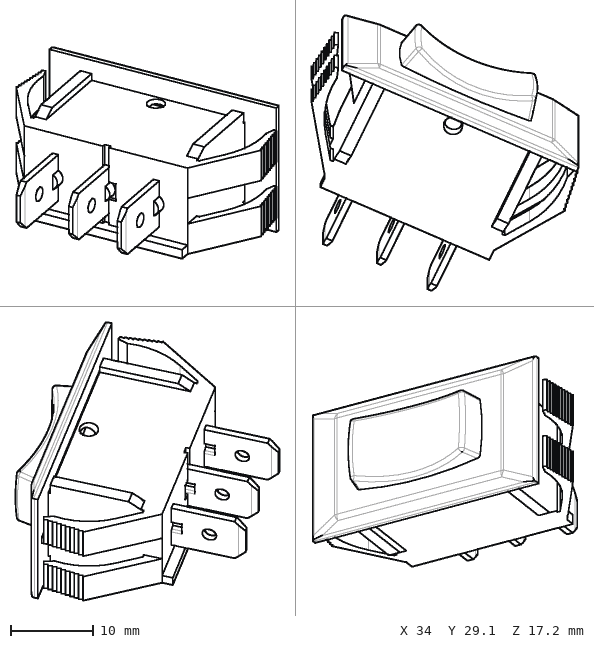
import cadquery as cq
import math


FLANGE_LENGTH = 31.5
FLANGE_HEIGHT = 17.15
FLANGE_FRONT = 2.05
RIM_DEPTH = 0.85
BEVEL_X = 4.0
BEVEL_Z = 1.55
RIM_ROUND = 0.5
FRONT_ROUND = 1.25

BODY_LENGTH = 22.65
BODY_HEIGHT = 11.9
BODY_REAR = -14.45
NECK_HEIGHT = 10.95
NECK_DEPTH = 0.25
LEDGE_THICKNESS = 1.25
LEDGE_DEPTH = 1.35

RIB_WIDTH = 1.55
RIB_RISE = 0.92
RIB_REAR = -11.75
RIB_CHAMFER = 1.55
GUSSET_REACH = 2.85
GUSSET_THICKNESS = 0.95
GUSSET_TIP = -1.55
GUSSET_REAR = -6.1

ARM_TIP_X = 17.0
ARM_HEIGHT = 4.18
ARM_KNEE_Y = -6.12
ARM_SLOT_END = -12.1
ARM_ANGLE = 34.5
ARM_SLOT_WIDTH = 0.37
ARM_INNER_RADIUS = 10.55
ARM_INNER_X = 15.5
ARM_INNER_TOP_Y = -2.05
ARM_END = (15.85, -0.75)
TOOTH_COUNT = 9
TOOTH_PITCH = 0.58
TOOTH_LEAN = 0.075
TOOTH_DEPTH = 0.2
TOOTH_UNDERCUT = 0.1

TERMINAL_SPACING = 7.0
TERMINAL_THICKNESS = 0.8
TERMINAL_HEIGHT = 6.35
TERMINAL_LENGTH = 9.4
TERMINAL_CORNER = 1.33
TIP_TAPER_LENGTH = 0.85
TIP_THICKNESS = 0.55
TERMINAL_HOLE_DIAMETER = 1.77
TERMINAL_HOLE_FROM_ROOT = 4.83
DIMPLE_LENGTH = 1.35
DIMPLE_DIAMETER = 2.28
DIMPLE_RISE = 0.6
DIMPLE_MOUTH = 1.77
GROOVE_LIP_RADIUS = 0.35
GROOVE_WALL_ANGLE = 65.0

CENTRE_RECESS = 0.48
RECESS_LENGTH = 2.8
RECESS_HEIGHT = 2.35

ROCKER_BASE_HALF = 8.95
ROCKER_HALF_HEIGHT = 4.83
ROCKER_BLANK_HEIGHT = 3.75
ROCKER_END_SLOPE = 13.8
ROCKER_SIDE_RADIUS = 46.92
ROCKER_END_BULGE = 0.3
DISH_RADIUS = 17.0
DISH_LOW = 3.4
ROCKER_ROUND = 0.48
STEM_LENGTH = 16.32
STEM_HEIGHT = 7.82
STEM_REAR = -3.4

PIVOT_Y = -1.77
PIVOT_HOLE_DIAMETER = 2.28
PIVOT_PIN_DIAMETER = 2.05
PIN_INSET = 0.58
PIN_FLAT_EDGE = 0.6
PIN_SLOPE = 30.0


def block(length, height, y_rear, y_front):
    """Box centred on X and Z that spans two Y positions."""
    middle = (y_rear + y_front) / 2
    return cq.Workplane("XY").box(length, y_front - y_rear, height).translate((0, middle, 0))


def prism_z(points, thickness):
    """XY outline extruded evenly to both sides of Z = 0."""
    return cq.Workplane("XY").polyline(points).close().extrude(thickness / 2, both=True)


def both_ends(shape):
    return shape.union(shape.mirror("YZ"))


def both_faces(shape):
    return shape.union(shape.mirror("XY"))


def rim_half_section(plane, half_width, bevel):
    """Half of a flange cross-section, with only its rim edge rounded."""
    slope_length = math.hypot(bevel, FLANGE_FRONT - RIM_DEPTH)
    along = (-bevel / slope_length, (FLANGE_FRONT - RIM_DEPTH) / slope_length)
    turn = math.acos(along[1])
    setback = RIM_ROUND * math.tan(turn / 2)
    centre = (half_width - RIM_ROUND, RIM_DEPTH - setback)
    arc_middle = (
        centre[0] + RIM_ROUND * math.cos(turn / 2),
        centre[1] + RIM_ROUND * math.sin(turn / 2),
    )
    arc_end = (half_width + setback * along[0], RIM_DEPTH + setback * along[1])
    return (
        cq.Workplane(plane)
        .lineTo(half_width, 0)
        .lineTo(half_width, centre[1])
        .threePointArc(arc_middle, arc_end)
        .lineTo(half_width - bevel, FLANGE_FRONT)
        .lineTo(0, FLANGE_FRONT)
        .close()
    )


def make_flange():
    overrun = RIM_DEPTH / (FLANGE_FRONT - RIM_DEPTH)
    bevels = (
        cq.Workplane("XZ")
        .rect(FLANGE_LENGTH + 2 * BEVEL_X * overrun, FLANGE_HEIGHT + 2 * BEVEL_Z * overrun)
        .workplane(offset=-FLANGE_FRONT)
        .rect(FLANGE_LENGTH - 2 * BEVEL_X, FLANGE_HEIGHT - 2 * BEVEL_Z)
        .loft(ruled=True, combine=True)
        .edges("not(<Y)")
        .fillet(FRONT_ROUND)
    )
    upright = cq.Plane(origin=(0, 0, 0), xDir=(0, 0, 1), normal=(-1, 0, 0))
    across_x = rim_half_section("XY", FLANGE_LENGTH / 2, BEVEL_X).extrude(FLANGE_HEIGHT / 2, both=True)
    across_z = rim_half_section(upright, FLANGE_HEIGHT / 2, BEVEL_Z).extrude(FLANGE_LENGTH / 2, both=True)
    return bevels.intersect(both_ends(across_x)).intersect(both_faces(across_z))


def make_block():
    neck = block(BODY_LENGTH, NECK_HEIGHT, -NECK_DEPTH, 0)
    main = block(BODY_LENGTH, BODY_HEIGHT, BODY_REAR, -NECK_DEPTH)
    ledge = block(BODY_LENGTH, LEDGE_THICKNESS, BODY_REAR - LEDGE_DEPTH, BODY_REAR)
    ledge = ledge.translate((0, 0, (LEDGE_THICKNESS - BODY_HEIGHT) / 2))
    return neck.union(main).union(ledge)


def make_ribs():
    base = BODY_HEIGHT / 2
    top = base + RIB_RISE
    profile = [
        (-NECK_DEPTH, base),
        (-NECK_DEPTH, top),
        (RIB_REAR + RIB_CHAMFER, top),
        (RIB_REAR, base),
    ]
    start = BODY_LENGTH / 2 - RIB_WIDTH
    rib = cq.Workplane("YZ", origin=(start, 0, 0)).polyline(profile).close().extrude(RIB_WIDTH)
    return both_faces(both_ends(rib))


def make_gussets():
    end = BODY_LENGTH / 2
    tip = end + GUSSET_REACH
    gusset = prism_z([(end, 0), (tip, 0), (tip, GUSSET_TIP), (end, GUSSET_REAR)], GUSSET_THICKNESS)
    return both_ends(gusset)


def make_clip_arms():
    end = BODY_LENGTH / 2
    angle = math.radians(ARM_ANGLE)
    centre_x = ARM_INNER_X - ARM_INNER_RADIUS
    slot_x = end + ARM_SLOT_WIDTH
    bend_x = centre_x + ARM_INNER_RADIUS * math.cos(angle)
    bend_y = ARM_SLOT_END + (bend_x - slot_x) / math.tan(angle)
    centre_y = bend_y + ARM_INNER_RADIUS * math.sin(angle)
    top_rise = ARM_INNER_TOP_Y - centre_y
    arc_top = (centre_x + math.sqrt(ARM_INNER_RADIUS**2 - top_rise**2), ARM_INNER_TOP_Y)

    arm = (
        cq.Workplane("XY", origin=(0, 0, BODY_HEIGHT / 2 - ARM_HEIGHT))
        .moveTo(end, BODY_REAR)
        .lineTo(ARM_TIP_X, ARM_KNEE_Y)
    )
    for tooth in range(TOOTH_COUNT):
        x = ARM_TIP_X - tooth * TOOTH_LEAN
        y = ARM_KNEE_Y + tooth * TOOTH_PITCH
        arm = arm.lineTo(x - TOOTH_DEPTH, y + TOOTH_UNDERCUT)
        arm = arm.lineTo(x - TOOTH_LEAN, y + TOOTH_PITCH)
    arm = (
        arm.lineTo(*ARM_END)
        .lineTo(*arc_top)
        .threePointArc((ARM_INNER_X, centre_y), (bend_x, bend_y))
        .lineTo(slot_x, ARM_SLOT_END)
        .lineTo(end, ARM_SLOT_END)
        .close()
        .extrude(ARM_HEIGHT)
    )
    return both_faces(both_ends(arm))


def make_dimple_groove():
    """Round-lipped, flat-floored groove behind the bump; the blade's -X face is at X = 0."""
    mouth = DIMPLE_MOUTH / 2
    turn = math.radians(GROOVE_WALL_ANGLE)
    lip_middle = (
        GROOVE_LIP_RADIUS * (1 - math.cos(turn / 2)),
        mouth - GROOVE_LIP_RADIUS * math.sin(turn / 2),
    )
    lip_end = (
        GROOVE_LIP_RADIUS * (1 - math.cos(turn)),
        mouth - GROOVE_LIP_RADIUS * math.sin(turn),
    )
    floor_half = lip_end[1] - (DIMPLE_RISE - lip_end[0]) / math.tan(turn)
    return (
        cq.Workplane("XZ")
        .moveTo(0, -mouth)
        .threePointArc((lip_middle[0], -lip_middle[1]), (lip_end[0], -lip_end[1]))
        .lineTo(DIMPLE_RISE, -floor_half)
        .lineTo(DIMPLE_RISE, floor_half)
        .lineTo(*lip_end)
        .threePointArc(lip_middle, (0, mouth))
        .close()
        .extrude(DIMPLE_LENGTH)
    )


def make_terminal():
    """Blade terminal centred on X = 0 and Z = 0, with its root at Y = 0."""
    half_height = TERMINAL_HEIGHT / 2
    half_thickness = TERMINAL_THICKNESS / 2
    outline = [
        (0, half_height),
        (TERMINAL_CORNER - TERMINAL_LENGTH, half_height),
        (-TERMINAL_LENGTH, half_height - TERMINAL_CORNER),
        (-TERMINAL_LENGTH, TERMINAL_CORNER - half_height),
        (TERMINAL_CORNER - TERMINAL_LENGTH, -half_height),
        (0, -half_height),
    ]
    blade = cq.Workplane("YZ").polyline(outline).close().extrude(half_thickness, both=True)
    taper = prism_z(
        [
            (half_thickness, 0),
            (half_thickness, TIP_TAPER_LENGTH - TERMINAL_LENGTH),
            (TIP_THICKNESS / 2, -TERMINAL_LENGTH),
            (-TIP_THICKNESS / 2, -TERMINAL_LENGTH),
            (-half_thickness, TIP_TAPER_LENGTH - TERMINAL_LENGTH),
            (-half_thickness, 0),
        ],
        TERMINAL_HEIGHT,
    )
    hole = (
        cq.Workplane("YZ", origin=(-half_thickness, -TERMINAL_HOLE_FROM_ROOT, 0))
        .circle(TERMINAL_HOLE_DIAMETER / 2)
        .extrude(TERMINAL_THICKNESS)
    )
    bump_centre = half_thickness + DIMPLE_RISE - DIMPLE_DIAMETER / 2
    bump = cq.Workplane("XZ").center(bump_centre, 0).circle(DIMPLE_DIAMETER / 2).extrude(DIMPLE_LENGTH)
    bump_side = cq.Workplane("XY").box(
        TERMINAL_HEIGHT, TERMINAL_HEIGHT, TERMINAL_HEIGHT, centered=(False, True, True)
    )
    bump = bump.intersect(bump_side)
    groove = make_dimple_groove().translate((-half_thickness, 0, 0))
    return blade.intersect(taper).cut(hole).union(bump).cut(groove)


def make_centre_recess():
    """Slot from the ledge up to the top, and a wider pocket, that set the centre terminal deeper."""
    floor = BODY_REAR + CENTRE_RECESS
    slot = block(TERMINAL_THICKNESS, BODY_HEIGHT, BODY_REAR, floor).translate((0, 0, LEDGE_THICKNESS))
    pocket = block(RECESS_LENGTH, RECESS_HEIGHT, BODY_REAR, floor)
    return slot.union(pocket)


def make_stem():
    """Part of the rocker that fills the opening through the flange."""
    return block(STEM_LENGTH, STEM_HEIGHT, STEM_REAR, FLANGE_FRONT)


def pivot_cylinder(diameter, half_length):
    return cq.Workplane("XY").center(0, PIVOT_Y).circle(diameter / 2).extrude(half_length, both=True)


def make_housing():
    housing = make_flange().union(make_block()).union(make_ribs())
    housing = housing.union(make_gussets()).union(make_clip_arms())
    housing = housing.cut(make_centre_recess())
    for position in (-1, 0, 1):
        root = BODY_REAR if position else BODY_REAR + CENTRE_RECESS
        housing = housing.union(make_terminal().translate((position * TERMINAL_SPACING, root, 0)))
    return housing.cut(make_stem()).cut(pivot_cylinder(PIVOT_HOLE_DIAMETER, BODY_HEIGHT / 2))


def rocker_section(plan, half_length):
    """Four bulging arcs; the long ones lie on the same two cylinders at every half length."""
    corner_x = half_length - ROCKER_END_BULGE
    sag = ROCKER_SIDE_RADIUS - math.sqrt(ROCKER_SIDE_RADIUS**2 - corner_x**2)
    corner_z = ROCKER_HALF_HEIGHT - sag
    return (
        plan.moveTo(-corner_x, -corner_z)
        .threePointArc((0, -ROCKER_HALF_HEIGHT), (corner_x, -corner_z))
        .threePointArc((half_length, 0), (corner_x, corner_z))
        .threePointArc((0, ROCKER_HALF_HEIGHT), (-corner_x, corner_z))
        .threePointArc((-half_length, 0), (-corner_x, -corner_z))
        .close()
    )


def make_rocker_cap():
    top_half = ROCKER_BASE_HALF - ROCKER_BLANK_HEIGHT * math.tan(math.radians(ROCKER_END_SLOPE))
    plan = rocker_section(cq.Workplane("XZ", origin=(0, FLANGE_FRONT, 0)), ROCKER_BASE_HALF)
    cap = rocker_section(plan.workplane(offset=-ROCKER_BLANK_HEIGHT), top_half).loft(ruled=True, combine=True)
    dish = (
        cq.Workplane("XY")
        .center(0, DISH_LOW + DISH_RADIUS)
        .circle(DISH_RADIUS)
        .extrude(ROCKER_HALF_HEIGHT * 2, both=True)
    )
    cap = cap.cut(dish)
    return cap.edges("not(<Y)").fillet(ROCKER_ROUND)


def make_pivot_pins():
    """Two pins; the end of each slopes down towards the rear past a short flat."""
    end = BODY_HEIGHT / 2 - PIN_INSET
    radius = PIVOT_PIN_DIAMETER / 2
    slope_start = PIVOT_Y + PIN_FLAT_EDGE
    slope_end = PIVOT_Y - radius
    drop = (slope_start - slope_end) * math.tan(math.radians(PIN_SLOPE))
    wedge = (
        cq.Workplane("YZ")
        .polyline([(slope_start, end), (slope_end, end), (slope_end, end - drop)])
        .close()
        .extrude(radius, both=True)
    )
    return pivot_cylinder(PIVOT_PIN_DIAMETER, end).cut(both_faces(wedge))


def make_rocker():
    return make_rocker_cap().union(make_stem()).union(make_pivot_pins())


housing = make_housing()
rocker = make_rocker()
result = cq.Compound.makeCompound([housing.solids().val(), rocker.solids().val()])